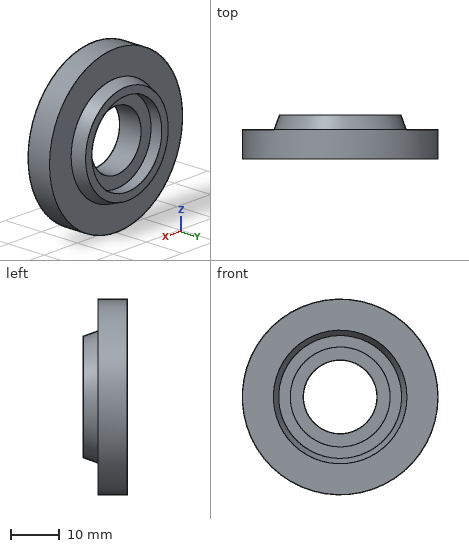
import cadquery as cq
import math

flange_diameter = 40.0
flange_thickness = 6.0
bore_diameter = 15.0
hub_diameter = 20.4
taper_angle = 20.0

boss_height = 3.0
boss_base_diameter = 27.0
boss_tip_diameter = boss_base_diameter - 2 * boss_height * math.tan(math.radians(taper_angle))

groove_depth = boss_height
groove_mouth_diameter = 27.3
groove_floor_diameter = groove_mouth_diameter - 2 * groove_depth * math.tan(math.radians(taper_angle))

recess_diameter = 21.0
recess_depth = boss_height

front_y = -flange_thickness
boss_tip_y = boss_height
groove_floor_y = front_y + groove_depth
recess_floor_y = boss_tip_y - recess_depth

half_section = [
    (bore_diameter / 2, front_y),
    (hub_diameter / 2, front_y),
    (hub_diameter / 2, groove_floor_y),
    (groove_floor_diameter / 2, groove_floor_y),
    (groove_mouth_diameter / 2, front_y),
    (flange_diameter / 2, front_y),
    (flange_diameter / 2, 0),
    (boss_base_diameter / 2, 0),
    (boss_tip_diameter / 2, boss_tip_y),
    (recess_diameter / 2, boss_tip_y),
    (recess_diameter / 2, recess_floor_y),
    (bore_diameter / 2, recess_floor_y),
]

result = (
    cq.Workplane("XY")
    .polyline(half_section)
    .close()
    .revolve(360, (0, 0, 0), (0, 1, 0))
)